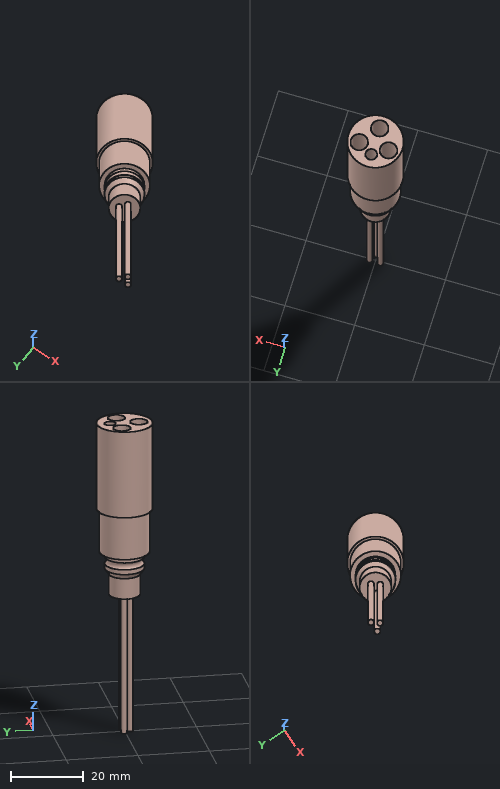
import cadquery as cq

total_height = 90.0
wire_length = 40.0
plug_height = total_height - wire_length

head_diameter = 15.5
sleeve_diameter = 14.0
collar_diameter = 11.0
neck_diameter = 10.0
tail_diameter = 8.7

head_length = 25.0
sleeve_length = 12.5
upper_collar_length = 1.5
groove_length = 2.0
lower_collar_length = 1.4
taper_length = 1.6

socket_diameter = 4.8
hole_depth = 15.0
side_socket_x = 4.2
side_socket_y = 1.5
front_socket_y = -4.0
key_hole_diameter = 3.2
key_hole_y = 4.0

wire_diameter = 1.7
side_wire_x = 1.55
side_wire_y = 0.45
front_wire_y = -1.55


def triangle_positions(side_x, side_y, front_y):
    """Left, front and right positions of a three-contact layout."""
    return [(-side_x, side_y), (0, front_y), (side_x, side_y)]


def make_body():
    """Revolve the stepped plug with its rounded groove and tapered collar."""
    head_bottom = plug_height - head_length
    sleeve_bottom = head_bottom - sleeve_length
    groove_top = sleeve_bottom - upper_collar_length
    groove_bottom = groove_top - groove_length
    taper_top = groove_bottom - lower_collar_length
    taper_bottom = taper_top - taper_length
    groove_middle = (groove_top + groove_bottom) / 2
    collar_radius = collar_diameter / 2
    profile = (
        cq.Workplane("XZ")
        .moveTo(0, plug_height)
        .lineTo(head_diameter / 2, plug_height)
        .lineTo(head_diameter / 2, head_bottom)
        .lineTo(sleeve_diameter / 2, head_bottom)
        .lineTo(sleeve_diameter / 2, sleeve_bottom)
        .lineTo(collar_radius, sleeve_bottom)
        .lineTo(collar_radius, groove_top)
        .threePointArc((neck_diameter / 2, groove_middle), (collar_radius, groove_bottom))
        .lineTo(collar_radius, taper_top)
        .lineTo(tail_diameter / 2, taper_bottom)
        .lineTo(tail_diameter / 2, 0)
        .lineTo(0, 0)
        .close()
    )
    return profile.revolve(360, (0, 0, 0), (0, 1, 0))


def make_holes(diameter, positions):
    """Blind flat-bottomed holes sunk from the mating face."""
    face = cq.Workplane("XY").workplane(offset=plug_height)
    return face.pushPoints(positions).circle(diameter / 2).extrude(-hole_depth)


def make_wires():
    """Three round wires leaving the tail."""
    positions = triangle_positions(side_wire_x, side_wire_y, front_wire_y)
    return cq.Workplane("XY").pushPoints(positions).circle(wire_diameter / 2).extrude(-wire_length)


socket_positions = triangle_positions(side_socket_x, side_socket_y, front_socket_y)
sockets = make_holes(socket_diameter, socket_positions)
key_hole = make_holes(key_hole_diameter, [(0, key_hole_y)])

result = make_body().cut(sockets).cut(key_hole).union(make_wires())